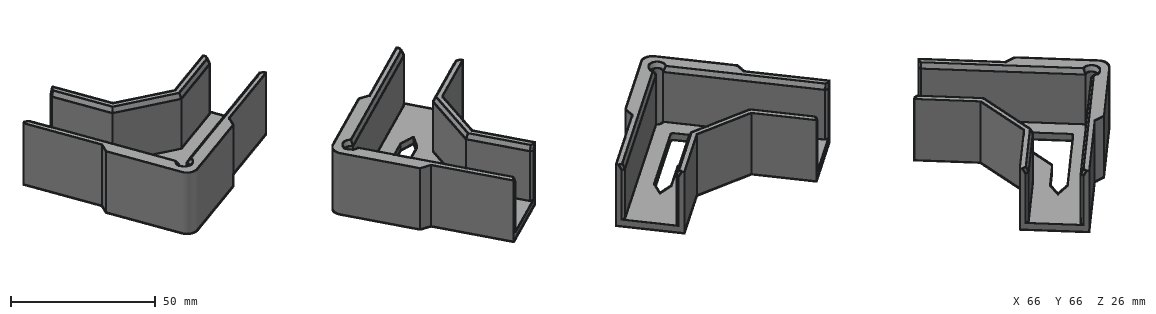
import cadquery as cq
import math


arm_length = 66.0
height = 26.0
floor_thickness = 3.0

channel_near = 6.0
channel_width = 18.0
wall_thickness = channel_near / 2
pad_thickness = channel_near - wall_thickness
channel_far = channel_near + channel_width
inner_wall_face = channel_far + wall_thickness

pad_length = 33.0
diagonal_start = 43.1
diagonal_angle = 45.0
corner_radius = 4.0

lead_in_width = 1.0
lead_in_height = 2.0
lead_in_angle = math.degrees(math.atan(lead_in_width / lead_in_height))

hole_diameter = 4.0

window_near = 12.0
window_width = 6.0
window_diagonal_start = 30.95
window_shoulder = 42.85
window_tip = 48.0
window_corner_radius = 1.0

overrun = 3.3


def mirrored_outline(half):
    """Close an outline from the half lying in the +Y arm and its mirror in the -X arm.

    Each point is (distance across the arm, distance along the arm).
    """
    upper = [(-across, along) for across, along in half]
    lower = [(-along, across) for across, along in reversed(half)]
    return upper + lower


def make_body():
    outline = mirrored_outline([
        (0, pad_length),
        (pad_thickness, pad_length + pad_thickness),
        (pad_thickness, arm_length),
        (inner_wall_face, arm_length),
        (inner_wall_face, diagonal_start),
    ])
    outer_corner = [(0, 0)]
    body = cq.Workplane("XY").polyline(outer_corner + outline).close().extrude(height)
    return body.edges("|Z and >X and <Y").fillet(corner_radius)


def make_channel():
    diagonal_turn = diagonal_start - wall_thickness * math.tan(math.radians(diagonal_angle / 2))
    inner_corner = [(-channel_near, channel_near)]
    outline = inner_corner + mirrored_outline([
        (channel_near, arm_length + overrun),
        (channel_far, arm_length + overrun),
        (channel_far, diagonal_turn),
    ])
    straight_top = height - lead_in_height
    straight = (
        cq.Workplane("XY", origin=(0, 0, floor_thickness))
        .polyline(outline).close().extrude(straight_top - floor_thickness)
    )
    sloped = (
        cq.Workplane("XY", origin=(0, 0, straight_top))
        .polyline(outline).close().extrude(lead_in_height, taper=-lead_in_angle)
    )
    return straight.union(sloped)


def make_window():
    window_far = window_near + window_width
    window_middle = window_near + window_width / 2
    inner_corner = [(-window_near, window_near)]
    outline = inner_corner + mirrored_outline([
        (window_near, window_shoulder),
        (window_middle, window_tip),
        (window_far, window_shoulder),
        (window_far, window_diagonal_start),
    ])
    window = cq.Workplane("XY").polyline(outline).close().extrude(height)
    return window.edges("|Z and >X and <Y").fillet(window_corner_radius)


def make_corner_hole():
    radius = hole_diameter / 2
    bore = cq.Workplane("XY").circle(radius).extrude(height)
    countersink = cq.Solid.makeCone(
        radius, radius + lead_in_width, lead_in_height,
        pnt=cq.Vector(0, 0, height - lead_in_height),
    )
    return bore.union(cq.Workplane(countersink)).translate((-channel_near, channel_near, 0))


def flare_mouth(body, end_face, near_corner, far_corner):
    """Chamfer the wall edges of one channel mouth, leaving the floor edge sharp."""
    wall_edges = cq.selectors.BoxSelector(near_corner, far_corner)
    return body.faces(end_face).edges(wall_edges).chamfer(lead_in_width)


def flare_mouths(body):
    margin = lead_in_width
    clearance = 0.05
    near = channel_near - margin
    far = channel_far + margin
    low = floor_thickness + clearance
    high = height - clearance
    before = arm_length - clearance
    beyond = arm_length + clearance
    body = flare_mouth(body, "<X", (-beyond, near, low), (-before, far, high))
    return flare_mouth(body, ">Y", (-far, before, low), (-near, beyond, high))


result = make_body().cut(make_channel())
result = flare_mouths(result)
result = result.cut(make_window()).cut(make_corner_hole())